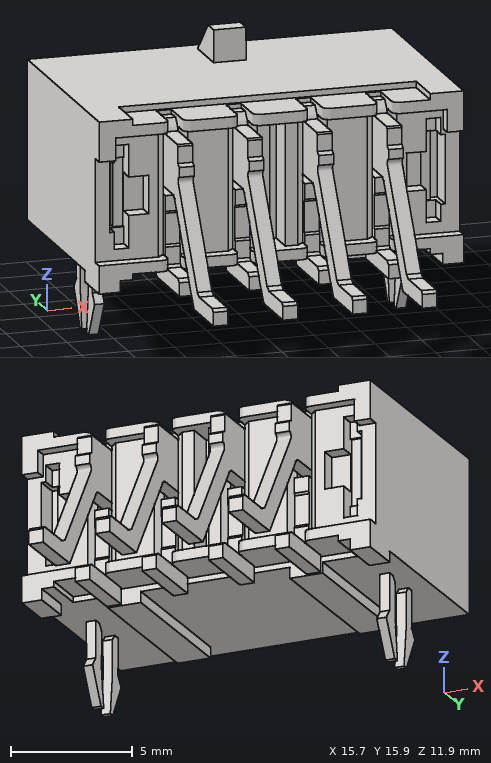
import cadquery as cq


body_width = 15.7
body_depth = 9.9
body_top = 7.35
body_bottom = 0.485
half_width = body_width / 2

wall_y = 0.55
shelf_thickness = 0.48
shelf_relief_depth = 1.94
shelf_relief_half_width = 6.4
upper_shelf_top = 7.09
upper_shelf_bottom = upper_shelf_top - shelf_thickness
lower_shelf_bottom = 0.73
lower_shelf_top = lower_shelf_bottom + shelf_thickness
corner_post_x = 7.125
corner_post_bottom = 5.64

foot_inner_x = 6.94
rib_inner_x = 3.36
rib_outer_x = 4.84
rib_back_y = 8.93

latch_width = 1.4
latch_height = 1.4
latch_front_y = 7.09
latch_crest_y = 7.9

contact_pitch = 3.0
contact_count = 4
contact_width = 0.64
slot_back_y = 1.79
slot_flare = 0.31
center_slot_width = 0.67
foot_thickness = 0.73
tip_chamfer = 0.13
upper_tip_y = -6.0
lower_tip_y = -1.35
lower_tip_chamfer_length = 0.2

arm_bottom = 4.13
arm_top = 6.43
arm_tip_y = -1.15
arm_chamfer = 0.07
arm_heel_y = -0.51
stop_y = -1.35
stop_bottom = 5.1
stop_top = 5.64
stop_chamfer = 0.12
notch_bottom_y = -1.22
notch_bottom_z = 4.79
notch_mid_y = -1.2
notch_mid_z = 4.97
crest_rise_start_y = 0.87
crest_rise_low_y = 0.95
crest_rise_low_z = 6.61
crest_rise_high_y = 1.05
crest_rise_high_z = 6.73
crest_front_y = 1.21
crest_top = 6.92
crest_back_y = 1.7

leg_under_start_y = -0.69
leg_under_start_z = 4.0
leg_under_end_y = -3.33
leg_top_end_y = -3.82
leg_top_end_z = 0.86
foot_top_start_y = -4.08

riser_y = 0.62
riser_step_y = 0.56
riser_top = 3.8
riser_foot_y = 0.44
riser_foot_z = 0.85
lower_step_top = 1.6
upper_step_bottom = 3.13
step_chamfer = 0.1

pocket_inner_x = 6.4
pocket_narrow_outer_x = 7.02
pocket_wide_outer_x = 7.21
pocket_window_inner_x = 5.55
pocket_mid_z = 3.915
pocket_narrow_height = 4.43
pocket_wide_height = 2.97
pocket_window_height = 1.64
pocket_narrow_back_y = 1.23
pocket_clip_y = 1.35
pocket_window_back_y = 1.28
pocket_wide_back_y = 1.65

peg_inner_x = 6.4
peg_outer_x = 6.83
peg_center_y = 5.31
overall_height = 11.86
peg_bottom = body_top + latch_height - overall_height
leg_root_inner = 0.77
leg_inner = 0.53
leg_outer = 1.12
barb_outer = 1.44
leg_tip_inner = 0.33
leg_tip_outer = 0.6
leg_flare_z = 0.22
neck_z = -1.165
leg_taper_z = -1.45
barb_z = -1.58


def box(x_range, y_range, z_range):
    """Block between the given limits along each axis."""
    (x0, x1), (y0, y1), (z0, z1) = x_range, y_range, z_range
    return cq.Workplane("XY").box(x1 - x0, y1 - y0, z1 - z0, centered=False).translate((x0, y0, z0))


def side_profile(points, x_start, x_end):
    """Outline of (Y, Z) points extruded along X."""
    return cq.Workplane("YZ").polyline(points).close().extrude(x_end - x_start).translate((x_start, 0, 0))


def with_mirror(solid):
    """The solid joined with its mirror image across the YZ plane."""
    return solid.union(solid.mirror("YZ"))


def contact_positions():
    first = -contact_pitch * (contact_count - 1) / 2
    return [first + contact_pitch * i for i in range(contact_count)]


def make_shell():
    shell = box((-half_width, half_width), (0, body_depth), (body_bottom, body_top))
    foot = box((foot_inner_x, half_width), (0, shelf_relief_depth), (0, body_bottom))
    rib = box((rib_inner_x, rib_outer_x), (shelf_relief_depth, rib_back_y), (0, body_bottom))
    return shell.union(with_mirror(foot)).union(with_mirror(rib))


def make_wall_recess():
    full = box((-half_width, half_width), (0, wall_y), (lower_shelf_top, corner_post_bottom))
    between_posts = box(
        (-corner_post_x, corner_post_x), (0, wall_y), (lower_shelf_top, upper_shelf_bottom)
    )
    return full.union(between_posts)


def make_shelf_reliefs():
    x_range = (-shelf_relief_half_width, shelf_relief_half_width)
    y_range = (0, shelf_relief_depth)
    above = box(x_range, y_range, (upper_shelf_top, body_top))
    below = box(x_range, y_range, (body_bottom, lower_shelf_bottom))
    return above.union(below)


def make_slot(x):
    """Contact slot, rounded where it enters the shelves and chamfered where it enters the wall."""
    half = contact_width / 2
    wide = half + slot_flare
    flare_end_y = wall_y + slot_flare
    arc_offset = slot_flare * (1 - 0.5**0.5)
    shelf_slot = (
        cq.Workplane("XY")
        .moveTo(-wide, 0)
        .threePointArc((-half - arc_offset, arc_offset), (-half, slot_flare))
        .lineTo(-half, slot_back_y)
        .lineTo(half, slot_back_y)
        .lineTo(half, slot_flare)
        .threePointArc((half + arc_offset, arc_offset), (wide, 0))
        .close()
        .extrude(upper_shelf_top - body_bottom)
        .translate((x, 0, body_bottom))
    )
    wall_chamfer = (
        cq.Workplane("XY")
        .polyline([(-wide, wall_y), (-half, flare_end_y), (half, flare_end_y), (wide, wall_y)])
        .close()
        .extrude(upper_shelf_bottom - lower_shelf_top)
        .translate((x, 0, lower_shelf_top))
    )
    return shelf_slot.union(wall_chamfer)


def make_center_slot():
    half = center_slot_width / 2
    return box((-half, half), (wall_y, slot_back_y), (lower_shelf_top, upper_shelf_bottom))


def pocket_part(x_range, back_y, height):
    z_range = (pocket_mid_z - height / 2, pocket_mid_z + height / 2)
    return box(x_range, (wall_y, back_y), z_range)


def make_pockets():
    """Stepped pocket at each end of the wall, with the clip plate as part of its back."""
    narrow = pocket_part(
        (pocket_inner_x, pocket_narrow_outer_x), pocket_narrow_back_y, pocket_narrow_height
    )
    clip_front = pocket_part((pocket_inner_x, peg_outer_x), pocket_clip_y, pocket_wide_height)
    wide = pocket_part((peg_outer_x, pocket_wide_outer_x), pocket_wide_back_y, pocket_wide_height)
    window = pocket_part(
        (pocket_window_inner_x, pocket_inner_x), pocket_window_back_y, pocket_window_height
    )
    return with_mirror(narrow.union(clip_front).union(wide).union(window))


def make_latch():
    latch_top = body_top + latch_height
    ramp = [
        (latch_front_y, body_top),
        (latch_front_y, latch_top),
        (latch_crest_y, latch_top),
        (latch_crest_y + latch_height, body_top),
    ]
    return side_profile(ramp, -latch_width / 2, latch_width / 2)


def make_upper_contact(x):
    """Contact that leaves the slot high up and slopes down to a foot on the board."""
    outline = (
        cq.Workplane("YZ")
        .moveTo(slot_back_y, arm_bottom)
        .lineTo(arm_heel_y, arm_bottom)
        .lineTo(leg_under_start_y, leg_under_start_z)
        .lineTo(leg_under_end_y, 0)
        .lineTo(upper_tip_y, 0)
        .lineTo(upper_tip_y, foot_thickness - tip_chamfer)
        .lineTo(upper_tip_y + tip_chamfer, foot_thickness)
        .lineTo(foot_top_start_y, foot_thickness)
        .lineTo(leg_top_end_y, leg_top_end_z)
        .lineTo(notch_bottom_y, notch_bottom_z)
        .threePointArc((notch_mid_y, notch_mid_z), (stop_y, stop_bottom))
        .lineTo(stop_y, stop_top - stop_chamfer)
        .lineTo(arm_tip_y, stop_top)
        .lineTo(arm_tip_y, arm_top - arm_chamfer)
        .lineTo(arm_tip_y + arm_chamfer, arm_top)
        .lineTo(crest_rise_start_y, arm_top)
        .lineTo(crest_rise_low_y, crest_rise_low_z)
        .lineTo(crest_rise_high_y, crest_rise_high_z)
        .lineTo(crest_front_y, crest_top)
        .lineTo(crest_back_y, crest_top)
        .lineTo(crest_back_y, arm_top)
        .lineTo(slot_back_y, arm_top)
        .close()
    )
    return outline.extrude(contact_width).translate((x - contact_width / 2, 0, 0))


def make_lower_contact(x):
    """Contact that runs down the slot and turns out to a short foot on the board."""
    outline = [
        (slot_back_y, 0),
        (lower_tip_y, 0),
        (lower_tip_y, foot_thickness - tip_chamfer),
        (lower_tip_y + lower_tip_chamfer_length, foot_thickness),
        (riser_foot_y, foot_thickness),
        (riser_step_y, riser_foot_z),
        (riser_step_y, lower_step_top),
        (riser_y, lower_step_top + step_chamfer),
        (riser_y, upper_step_bottom - step_chamfer),
        (riser_step_y, upper_step_bottom),
        (riser_step_y, riser_top),
        (slot_back_y, riser_top),
    ]
    return side_profile(outline, x - contact_width / 2, x + contact_width / 2)


def make_peg():
    """Split board-lock peg: two barbed legs, mirrored about the peg's center."""
    leg = [
        (leg_root_inner, body_bottom),
        (leg_inner, leg_flare_z),
        (leg_inner, leg_taper_z),
        (leg_tip_inner, peg_bottom),
        (leg_tip_outer, peg_bottom),
        (barb_outer, barb_z),
        (leg_outer, neck_z),
        (leg_outer, body_bottom),
    ]
    back_leg = side_profile(leg, peg_inner_x, peg_outer_x)
    peg = back_leg.union(back_leg.mirror("XZ"))
    return peg.translate((0, peg_center_y, 0))


result = make_shell().cut(make_wall_recess()).cut(make_shelf_reliefs())
result = result.cut(make_center_slot()).cut(make_pockets())
result = result.union(make_latch()).union(with_mirror(make_peg()))
for contact_x in contact_positions():
    result = result.cut(make_slot(contact_x))
    result = result.union(make_upper_contact(contact_x)).union(make_lower_contact(contact_x))